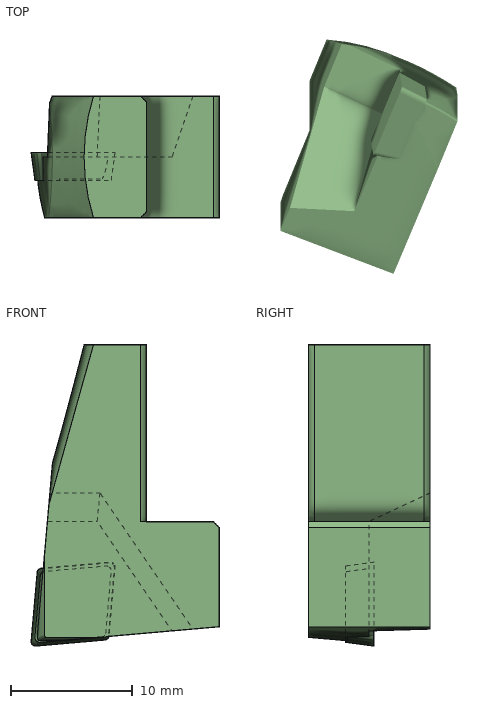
import cadquery as cq
import math

WIDTH = 10.0
HALF_WIDTH = WIDTH / 2
FOOT_END_X = 15.49
TOP_Z = 24.78
STEP_X = 9.5
STEP_Z = 10.23
EDGE_CHAMFER = 0.5

RELIEF_ANGLE = 5.0
NOSE_BOTTOM_Z = 0.72
HEEL_END_Z = 1.59

CONE_ANGLE = 15.0
CONE_TOP_X = 4.35
CONE_TOP_RADIUS = 16.6
FLAT_TOP_X = 1.75
FLAT_TOP_Z = 15.12
NOSE_RADIUS = 19.08
NOSE_FRONT_X = 0.45
NOSE_FILLET = 0.15

POCKET_FLOOR_Y = 0.0
ROOF_INNER_Z = 10.25
ROOF_ANGLE = 25.0
WALL_FOOT_X = 11.6
WALL_FOOT_Z = 1.25
WALL_SKEW = 20.0
WALL_LEAN = 32.7

INSERT_SIDE = 6.45
INSERT_THICKNESS = 2.33
INSERT_TOP_Y = 0.37
INSERT_NOSE_ANGLE = 80.0
INSERT_CLEARANCE = 7.0
INSERT_CORNER_RADIUS = 0.4

TRIM = 74.35


def material_beyond(point, normal):
    """Large block filling the side of a plane that its normal points to."""
    plane = cq.Plane(origin=point, normal=normal)
    return cq.Workplane(plane).rect(TRIM, TRIM).extrude(TRIM)


def holder_block():
    """L-shaped block with a chamfered foot corner and chamfered tower edges."""
    outline = [
        (0, 0),
        (FOOT_END_X, 0),
        (FOOT_END_X, STEP_Z - EDGE_CHAMFER),
        (FOOT_END_X - EDGE_CHAMFER, STEP_Z),
        (STEP_X, STEP_Z),
        (STEP_X, TOP_Z),
        (0, TOP_Z),
    ]
    block = cq.Workplane("XZ").polyline(outline).close().extrude(HALF_WIDTH, both=True)
    tower_middle = (STEP_X, 0, (STEP_Z + TOP_Z) / 2)
    tower_face = cq.selectors.NearestToPointSelector(tower_middle)
    return block.faces(tower_face).edges("|Z").chamfer(EDGE_CHAMFER)


def front_cone():
    """Cone about a vertical axis that rounds the upper front."""
    axis_x = CONE_TOP_X + CONE_TOP_RADIUS
    base_radius = CONE_TOP_RADIUS + TOP_Z * math.tan(math.radians(CONE_ANGLE))
    cone = cq.Solid.makeCone(base_radius, CONE_TOP_RADIUS, TOP_Z, cq.Vector(axis_x, 0, 0))
    return cq.Workplane(cone)


def nose_cylinder():
    """Vertical cylinder that rounds the lower front."""
    axis_x = NOSE_FRONT_X + NOSE_RADIUS
    return cq.Workplane("XY").center(axis_x, 0).circle(NOSE_RADIUS).extrude(TOP_Z)


def chip_pocket():
    """Space above the pocket floor, below the roof and in front of the leaning wall."""
    roof = math.radians(ROOF_ANGLE)
    skew = math.radians(WALL_SKEW)
    lean = math.radians(WALL_LEAN)
    wall_normal = (-math.cos(lean) * math.cos(skew), math.cos(lean) * math.sin(skew), -math.sin(lean))
    above_floor = material_beyond((0, POCKET_FLOOR_Y, 0), (0, 1, 0))
    below_roof = material_beyond((0, POCKET_FLOOR_Y, ROOF_INNER_Z), (0, math.sin(roof), -math.cos(roof)))
    before_wall = material_beyond((WALL_FOOT_X, POCKET_FLOOR_Y, WALL_FOOT_Z), wall_normal)
    return above_floor.intersect(below_roof).intersect(before_wall)


def make_insert():
    """Rhombic insert, its sides tapering inward from the top face toward -Y."""
    lean = math.radians((90 - INSERT_NOSE_ANGLE) / 2)
    long_step = INSERT_SIDE * math.cos(lean)
    short_step = INSERT_SIDE * math.sin(lean)
    half_nose = math.radians(INSERT_NOSE_ANGLE / 2)
    corner = INSERT_CORNER_RADIUS * (1 - math.sqrt(0.5) / math.sin(half_nose))
    outline = [
        (corner, corner),
        (corner + long_step, corner + short_step),
        (corner + long_step + short_step, corner + long_step + short_step),
        (corner + short_step, corner + long_step),
    ]
    top_plane = cq.Workplane("XZ", origin=(0, INSERT_TOP_Y, 0))
    insert = top_plane.polyline(outline).close().extrude(INSERT_THICKNESS, taper=INSERT_CLEARANCE)
    return insert.edges("not #Y").fillet(INSERT_CORNER_RADIUS)


def make_holder(insert):
    """Holder with its curved front, relieved bottom, chip pocket and insert seat."""
    sin_relief = math.sin(math.radians(RELIEF_ANGLE))
    cos_relief = math.cos(math.radians(RELIEF_ANGLE))
    front_flat = material_beyond((FLAT_TOP_X, 0, FLAT_TOP_Z), (cos_relief, 0, -sin_relief))
    nose_relief = material_beyond((0, -HALF_WIDTH, NOSE_BOTTOM_Z), (0, sin_relief, cos_relief))
    heel_relief = material_beyond((FOOT_END_X, 0, HEEL_END_Z), (-sin_relief, 0, cos_relief))

    holder = holder_block().intersect(nose_relief).intersect(nose_cylinder())
    nose_edge = cq.selectors.NearestToPointSelector((NOSE_FRONT_X, 0, 0))
    holder = holder.edges(nose_edge).fillet(NOSE_FILLET)
    holder = holder.intersect(heel_relief).intersect(front_cone()).intersect(front_flat)
    return holder.cut(chip_pocket()).cut(insert)


insert = make_insert()
holder = make_holder(insert)

result = cq.Compound.makeCompound([holder.solids().val(), insert.solids().val()])